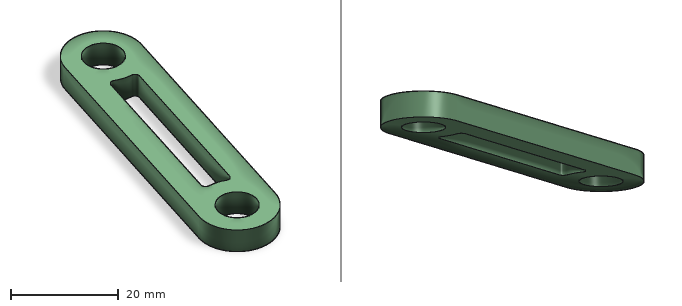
import cadquery as cq

length = 69.2
width = 16.0
thickness = 5.0
hole_diameter = 8.2
slot_width = 6.0
slot_corner_radius = 1.0

end_radius = width / 2
center_distance = length - width
hole_centers = [(-center_distance / 2, 0), (center_distance / 2, 0)]


def make_bar():
    """Flat bar with full-round ends."""
    return cq.Workplane("XY").slot2D(length, width).extrude(thickness)


def make_slot():
    """Central window whose ends bulge inward, concentric with the holes."""
    window = cq.Workplane("XY").rect(center_distance, slot_width).extrude(thickness)
    end_disks = (
        cq.Workplane("XY").pushPoints(hole_centers).circle(end_radius).extrude(thickness)
    )
    return window.cut(end_disks).edges("|Z").fillet(slot_corner_radius)


def make_holes():
    """Through hole at each rounded end."""
    return (
        cq.Workplane("XY").pushPoints(hole_centers).circle(hole_diameter / 2).extrude(thickness)
    )


result = make_bar().cut(make_slot()).cut(make_holes())